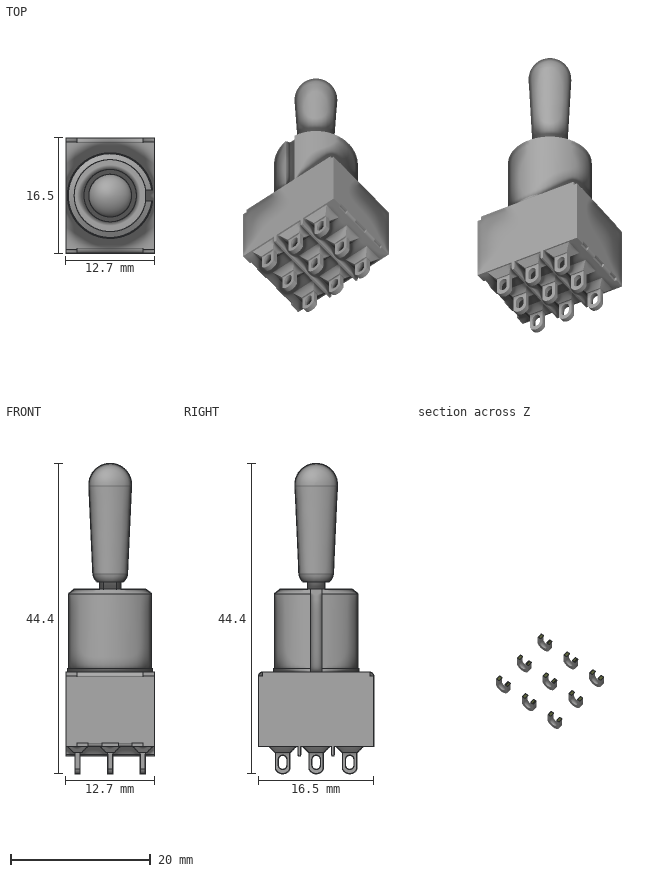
import cadquery as cq
import math

HOUSING_X = 12.7
HOUSING_Y = 16.5
HOUSING_BOTTOM = 3.9
HOUSING_TOP = 14.55
PANEL_WIDTH = 9.45
PANEL_BEND = 0.65
CORNER_NOTCH = 0.58
PANEL_BOTTOM = 4.45
PANEL_THICKNESS = 0.35
TAB_INNER = 1.2
TAB_OUTER = 3.15
TAB_BEND = 0.4

FLANGE_RADIUS = 6.13
FLANGE_TOP = 15.1
BUSHING_RADIUS = 6.0
BUSHING_TOP = 26.4
BUSHING_RIM_RADIUS = 5.15
BUSHING_RIM_HEIGHT = 0.65
BORE_DIAMETER = 7.5
BORE_DEPTH = 2.45
KEYWAY_FLOOR_X = 5.0
KEYWAY_WIDTH = 1.6
LEVER_SLOT_RADIUS = 2.95
LEVER_SLOT_WIDTH = 2.57

LEVER_TIP = 44.4
DOME_RADIUS = 3.05
DOME_EDGE = 41.15
WAIST_RADIUS = 2.5
WAIST_HEIGHT = 28.6
GRIP_BASE_RADIUS = 1.85
GRIP_BASE = 27.45
GRIP_BASE_BULGE = 0.1
STEM_RADIUS = 1.55
STEM_FLATS = 2.5

PITCH_X = 4.65
PITCH_Y = 4.8
LUG_THICKNESS = 0.75
LUG_WIDTH = 2.1
LUG_END_HEIGHT = 0.7
EYE_WIDTH = 1.2
EYE_LENGTH = 2.0
EYE_CENTER = 1.65
SEAL_SPREAD = 0.9
SEAL_TIP_X = 1.1
SEAL_TIP_Y = 2.15

BARRIER_THICKNESS = 0.45
BARRIER_BOTTOM = 2.55
BARRIER_BEVEL_HEIGHT = 0.25
BARRIER_BEVEL_DEPTH = 0.1


def block(x_range, y_range, z_range):
    """Box between the given lower and upper limits on each axis."""
    low, high = zip(x_range, y_range, z_range)
    size = [b - a for a, b in zip(low, high)]
    return cq.Workplane("XY").box(*size, centered=False).translate(low)


def end_panel_detail(housing):
    """Add the bend, corner steps and folded tabs at the -Y end of the housing."""
    half_x = HOUSING_X / 2
    half_panel = PANEL_WIDTH / 2
    end_y = -HOUSING_Y / 2

    step_z = (HOUSING_TOP - CORNER_NOTCH, HOUSING_TOP)
    step_y = (end_y, end_y + CORNER_NOTCH)
    housing = housing.cut(block((-half_x, -half_panel), step_y, step_z))
    housing = housing.cut(block((half_panel, half_x), step_y, step_z))
    bend_z = (HOUSING_TOP - PANEL_BEND, HOUSING_TOP)
    bend_y = (end_y, end_y + PANEL_BEND)
    bend = block((-half_panel, half_panel), bend_y, bend_z)
    bend_round = (
        cq.Workplane("YZ")
        .center(end_y + PANEL_BEND, HOUSING_TOP - PANEL_BEND)
        .circle(PANEL_BEND)
        .extrude(half_panel, both=True)
    )
    housing = housing.cut(bend.cut(bend_round))

    recess_y = (end_y, end_y + PANEL_THICKNESS)
    recess_z = (HOUSING_BOTTOM, PANEL_BOTTOM)
    housing = housing.cut(block((-half_panel, half_panel), recess_y, recess_z))
    tab_y = (end_y, end_y + 2 * TAB_BEND)
    for tab_x in ((TAB_INNER, TAB_OUTER), (-TAB_OUTER, -TAB_INNER)):
        tab = block(tab_x, tab_y, recess_z).edges("<Y and <Z").fillet(TAB_BEND)
        housing = housing.union(tab)
    return housing


def make_housing():
    """Rectangular body with the same panel detail at both Y ends."""
    housing = block(
        (-HOUSING_X / 2, HOUSING_X / 2),
        (-HOUSING_Y / 2, HOUSING_Y / 2),
        (HOUSING_BOTTOM, HOUSING_TOP),
    )
    for _ in range(2):
        housing = end_panel_detail(housing).rotate((0, 0, 0), (0, 0, 1), 180)
    return housing


def make_bushing():
    """Flanged bushing with a keyway on +X and a slotted bore for the lever."""
    bore_floor = BUSHING_TOP - BORE_DEPTH
    bore_radius = BORE_DIAMETER / 2
    bushing = (
        cq.Workplane("XZ")
        .moveTo(0, HOUSING_TOP)
        .lineTo(FLANGE_RADIUS, HOUSING_TOP)
        .lineTo(FLANGE_RADIUS, FLANGE_TOP)
        .lineTo(BUSHING_RADIUS, FLANGE_TOP)
        .lineTo(BUSHING_RADIUS, BUSHING_TOP - BUSHING_RIM_HEIGHT)
        .lineTo(BUSHING_RIM_RADIUS, BUSHING_TOP)
        .lineTo(bore_radius, BUSHING_TOP)
        .lineTo(bore_radius, bore_floor)
        .lineTo(0, bore_floor)
        .close()
        .revolve(360, (0, 0, 0), (0, 1, 0))
    )
    keyway = block(
        (KEYWAY_FLOOR_X, FLANGE_RADIUS),
        (-KEYWAY_WIDTH / 2, KEYWAY_WIDTH / 2),
        (HOUSING_TOP, BUSHING_TOP),
    )
    lever_slot = flatted_rod(LEVER_SLOT_RADIUS, LEVER_SLOT_WIDTH, HOUSING_TOP, bore_floor)
    return bushing.cut(keyway).cut(lever_slot)


def flatted_rod(radius, across_flats, bottom, top):
    """Upright rod with two flats facing -Y and +Y."""
    rod = cq.Workplane("XY").workplane(offset=bottom).circle(radius).extrude(top - bottom)
    flats = block((-radius, radius), (-across_flats / 2, across_flats / 2), (bottom, top))
    return rod.intersect(flats)


def make_lever():
    """Domed, tapered grip on a flatted stem that reaches the slot floor."""
    dome_center = LEVER_TIP - DOME_RADIUS
    dome_edge_radius = math.sqrt(DOME_RADIUS**2 - (dome_center - DOME_EDGE) ** 2)
    dome_mid = DOME_RADIUS * math.sqrt(0.5)
    base_mid = (
        (WAIST_RADIUS + GRIP_BASE_RADIUS) / 2 + GRIP_BASE_BULGE,
        (WAIST_HEIGHT + GRIP_BASE) / 2 - GRIP_BASE_BULGE,
    )
    grip = (
        cq.Workplane("XZ")
        .moveTo(0, GRIP_BASE)
        .lineTo(GRIP_BASE_RADIUS, GRIP_BASE)
        .threePointArc(base_mid, (WAIST_RADIUS, WAIST_HEIGHT))
        .lineTo(dome_edge_radius, DOME_EDGE)
        .threePointArc((dome_mid, dome_center + dome_mid), (0, LEVER_TIP))
        .close()
        .revolve(360, (0, 0, 0), (0, 1, 0))
    )
    stem = flatted_rod(STEM_RADIUS, STEM_FLATS, HOUSING_TOP, WAIST_HEIGHT)
    return grip.union(stem)


def make_terminal():
    """Round-ended lug with an oblong eye, hanging from its sealing fillet."""
    lug_half = LUG_WIDTH / 2
    lug = (
        cq.Workplane("YZ")
        .moveTo(-lug_half, HOUSING_BOTTOM)
        .lineTo(-lug_half, LUG_END_HEIGHT)
        .threePointArc((0, 0), (lug_half, LUG_END_HEIGHT))
        .lineTo(lug_half, HOUSING_BOTTOM)
        .close()
        .extrude(LUG_THICKNESS / 2, both=True)
    )
    eye = (
        cq.Workplane("YZ")
        .center(0, EYE_CENTER)
        .slot2D(EYE_LENGTH, EYE_WIDTH, 90)
        .extrude(LUG_THICKNESS, both=True)
    )
    seal = (
        cq.Workplane("XY")
        .workplane(offset=HOUSING_BOTTOM - SEAL_SPREAD)
        .rect(SEAL_TIP_X, SEAL_TIP_Y)
        .workplane(offset=SEAL_SPREAD)
        .rect(SEAL_TIP_X + 2 * SEAL_SPREAD, SEAL_TIP_Y + 2 * SEAL_SPREAD)
        .loft(ruled=True)
    )
    return lug.cut(eye).union(seal)


def make_barrier():
    """Full-width wall with steep bevels along its lower edge, centered on Y = 0."""
    half = BARRIER_THICKNESS / 2
    tip_half = half - BARRIER_BEVEL_DEPTH
    bevel_top = BARRIER_BOTTOM + BARRIER_BEVEL_HEIGHT
    return (
        cq.Workplane("YZ")
        .moveTo(-half, HOUSING_BOTTOM)
        .lineTo(-half, bevel_top)
        .lineTo(-tip_half, BARRIER_BOTTOM)
        .lineTo(tip_half, BARRIER_BOTTOM)
        .lineTo(half, bevel_top)
        .lineTo(half, HOUSING_BOTTOM)
        .close()
        .extrude(HOUSING_X / 2, both=True)
    )


result = make_housing().union(make_bushing()).union(make_lever())

terminal = make_terminal()
for column in (-1, 0, 1):
    for row in (-1, 0, 1):
        result = result.union(terminal.translate((column * PITCH_X, row * PITCH_Y, 0)))

barrier = make_barrier()
for side in (-1, 1):
    result = result.union(barrier.translate((0, side * PITCH_Y / 2, 0)))